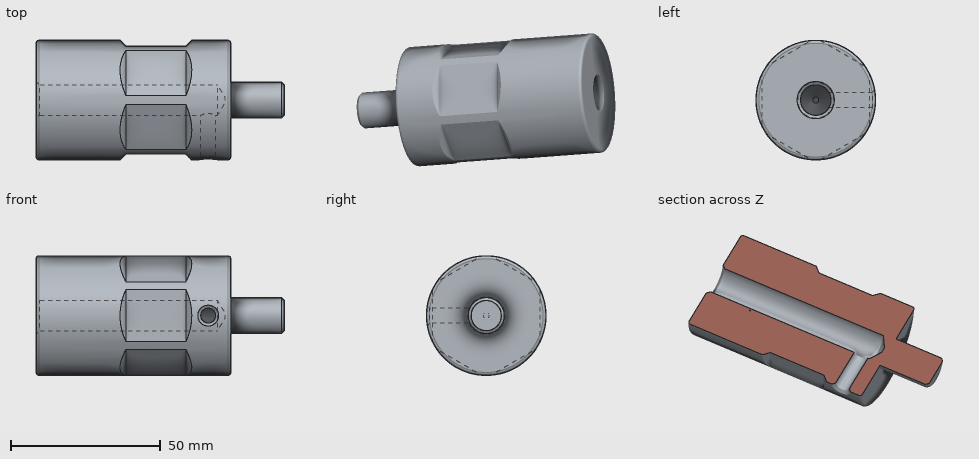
import cadquery as cq
import math

total_length = 83.0
body_length = 65.1
body_diameter = 40.0
body_radius = body_diameter / 2
body_edge_radius = 1.0
shank_diameter = 12.0
shank_chamfer = 1.0

flat_count = 6
across_flats = 36.0
flat_start = 30.05
flat_length = 20.0

bore_diameter = 10.2
bore_mouth_diameter = 12.45
bore_depth = 60.6
bore_tip_diameter = 2.0
bore_tip_angle = 118.0

side_hole_x = 57.5
side_hole_diameter = 5.0
side_hole_chamfer = 1.0


def make_x_cylinder(diameter, start, end):
    start_plane = cq.Workplane("YZ").workplane(offset=start)
    return start_plane.circle(diameter / 2).extrude(end - start)


def make_body():
    body = make_x_cylinder(body_diameter, 0, body_length)
    return body.edges().fillet(body_edge_radius)


def make_shank():
    shank = make_x_cylinder(shank_diameter, body_length, total_length)
    return shank.faces(">X").chamfer(shank_chamfer)


def make_flat_cutter(angle):
    """Cutter for one flat, with ends sloping outward at 45 degrees."""
    floor = across_flats / 2
    overshoot = body_radius
    flat_end = flat_start + flat_length
    cutter = (
        cq.Workplane("XZ")
        .moveTo(flat_start, floor)
        .lineTo(flat_end, floor)
        .lineTo(flat_end + overshoot, floor + overshoot)
        .lineTo(flat_start - overshoot, floor + overshoot)
        .close()
        .extrude(body_radius, both=True)
    )
    return cutter.rotate((0, 0, 0), (1, 0, 0), angle)


def make_bore():
    """Revolved cutter: 45 degree mouth, straight wall and conical bottom."""
    radius = bore_diameter / 2
    mouth_radius = bore_mouth_diameter / 2
    tip_radius = bore_tip_diameter / 2
    tip_length = (radius - tip_radius) / math.tan(math.radians(bore_tip_angle / 2))
    return (
        cq.Workplane("XY")
        .lineTo(0, mouth_radius)
        .lineTo(mouth_radius - radius, radius)
        .lineTo(bore_depth, radius)
        .lineTo(bore_depth + tip_length, tip_radius)
        .lineTo(bore_depth + tip_length, 0)
        .close()
        .revolve(360, (0, 0, 0), (1, 0, 0))
    )


def add_side_hole(part):
    """Drill in to the body axis and chamfer the curved outer rim."""
    cutter = (
        cq.Workplane("XZ")
        .center(side_hole_x, 0)
        .circle(side_hole_diameter / 2)
        .extrude(body_radius)
    )
    box_side = side_hole_diameter + side_hole_chamfer
    rim = cq.selectors.BoxSelector(
        (side_hole_x - box_side / 2, -body_radius - box_side / 2, -box_side / 2),
        (side_hole_x + box_side / 2, -body_radius + box_side / 2, box_side / 2),
        boundingbox=True,
    )
    drilled = part.cut(cutter)
    return drilled.edges(rim).chamfer(side_hole_chamfer)


result = make_body().union(make_shank())
for index in range(flat_count):
    result = result.cut(make_flat_cutter((index + 0.5) * 360 / flat_count))
result = add_side_hole(result)
result = result.cut(make_bore())